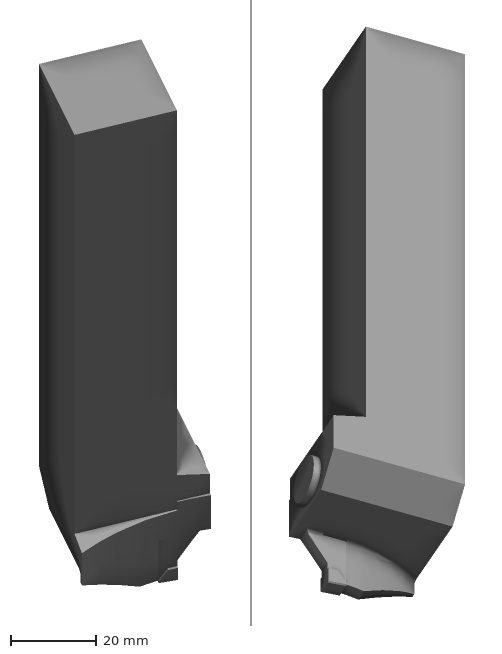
import cadquery as cq
import math

total_height = 152.4
shank_side = 25.5
head_bottom = 14.2
head_depth = 33.7
corner_chamfer = 7.3
flange_angle = 15.0
blade_reach = 30.8
side_ledge_height = 21.0
back_ledge_height = 31.4
rear_lug_height = 25.1


def arc_radius(run, rise):
    """Radius of an arc that leaves its tangent line by a rise over a run."""
    return (run**2 + rise**2) / (2 * rise)


outer_wall_x = 25.8
outer_wall_y = 25.9
outer_wall_radius = arc_radius(outer_wall_y, blade_reach - outer_wall_x)
inner_wall_x = 22.4
inner_wall_y = 23.8
blade_front_x = 29.7
blade_front_z = 10.5
support_bottom = 1.2
support_front_y = 15.8
blade_back_y = 31.0
root_fillet = 1.2

insert_front_y = 20.7
insert_back_y = 26.8
front_relief = 0.5
tip_back_y = 25.5
tip_shoulder_z = 6.1
tip_side_x = 22.0
tip_outer_x = 26.4
tip_height = 4.3
tip_step_y = 23.0
tip_front_z = 1.4
tip_chamfer = 0.3

screw_diameter = 11.9
screw_projection = 1.8
screw_x = 13.4
screw_z = 21.5

ledge_slope = math.tan(math.radians(flange_angle))
back_slope = (head_bottom - tip_shoulder_z) / (blade_back_y - tip_back_y)
jaw_bottom = tip_shoulder_z + (insert_back_y - tip_back_y) * back_slope


def outer_x(y):
    """X of the concave outer wall at a given Y."""
    offset = y - outer_wall_y
    return outer_wall_x + outer_wall_radius - math.sqrt(outer_wall_radius**2 - offset**2)


def side_prism(points, x_start, x_end):
    """Prism along X from an outline of (Y, Z) points."""
    return (cq.Workplane("YZ").workplane(offset=x_start)
            .polyline(points).close().extrude(x_end - x_start))


def front_prism(points, y_start, y_end):
    """Prism along Y from an outline of (X, Z) points."""
    return (cq.Workplane("XZ").workplane(offset=-y_end)
            .polyline(points).close().extrude(y_end - y_start))


def make_shank():
    """Square shank with a back ledge and a chamfered lower corner."""
    ledge_root = back_ledge_height + (head_depth - shank_side) * ledge_slope
    shank = side_prism([
        (0, head_bottom),
        (head_depth, head_bottom),
        (head_depth, back_ledge_height),
        (shank_side, ledge_root),
        (shank_side, total_height),
        (0, total_height),
    ], 0, shank_side)
    corner = front_prism([
        (0, head_bottom),
        (corner_chamfer, head_bottom),
        (0, head_bottom + corner_chamfer),
    ], 0, head_depth)
    return shank.cut(corner)


def make_side_flange():
    """Flange with a concave outer wall, a sloping ledge and a rear lug."""
    flange = (cq.Workplane("XY").workplane(offset=head_bottom)
              .moveTo(inner_wall_x, 0)
              .lineTo(outer_x(0), 0)
              .threePointArc((outer_wall_x, outer_wall_y), (outer_x(head_depth), head_depth))
              .lineTo(inner_wall_x, head_depth)
              .close().extrude(rear_lug_height - head_bottom))
    ledge_root = side_ledge_height + (blade_reach - shank_side) * ledge_slope
    above_ledge = front_prism([
        (shank_side, ledge_root),
        (blade_reach, side_ledge_height),
        (blade_reach, total_height),
        (shank_side, total_height),
    ], 0, shank_side)
    return flange.cut(above_ledge)


def make_blade():
    """Curved support blade and rear jaw below the head."""
    inner_radius = arc_radius(inner_wall_y, blade_front_x - inner_wall_x)
    middle_y = inner_wall_y / 2
    middle_x = inner_wall_x + inner_radius - math.sqrt(inner_radius**2 - middle_y**2)
    plan = (cq.Workplane("XY")
            .moveTo(blade_front_x, 0)
            .lineTo(outer_x(0), 0)
            .threePointArc((outer_wall_x, outer_wall_y), (outer_x(head_depth), head_depth))
            .lineTo(inner_wall_x, head_depth)
            .lineTo(inner_wall_x, inner_wall_y)
            .threePointArc((middle_x, middle_y), (blade_front_x, 0))
            .close().extrude(head_bottom))
    profile = side_prism([
        (0, head_bottom),
        (0, blade_front_z),
        (support_front_y, support_bottom),
        (insert_front_y, support_bottom),
        (insert_back_y, jaw_bottom),
        (blade_back_y, head_bottom),
    ], 0, blade_reach)
    return plan.intersect(profile)


def make_screw_head():
    """Round screw head fixed to the rear face of the holder."""
    return (cq.Workplane("XZ", origin=(screw_x, head_depth, screw_z))
            .circle(screw_diameter / 2).extrude(-screw_projection))


def make_holder():
    """Holder with its blade and screw head, slotted for the insert."""
    holder = make_shank().union(make_side_flange()).union(make_blade())
    root_edges = cq.selectors.BoxSelector(
        (inner_wall_x - root_fillet, -root_fillet, head_bottom - root_fillet),
        (outer_wall_x + root_fillet, blade_back_y - root_fillet, head_bottom + root_fillet))
    holder = holder.edges(root_edges).fillet(root_fillet)
    slot = (cq.Workplane("XY")
            .box(blade_reach, insert_back_y - insert_front_y, head_bottom, centered=False)
            .translate((0, insert_front_y, 0)))
    return holder.cut(slot).union(make_screw_head())


def make_insert():
    """Upright cutting insert with a slightly wider tip."""
    body = side_prism([
        (insert_front_y, front_relief),
        (tip_back_y, 0),
        (tip_back_y, tip_shoulder_z),
        (insert_back_y, jaw_bottom),
        (insert_back_y, head_bottom),
        (insert_front_y, head_bottom),
    ], inner_wall_x, outer_wall_x)
    tip = side_prism([
        (insert_front_y, front_relief),
        (tip_back_y, 0),
        (tip_back_y, tip_height),
        (tip_step_y, tip_height),
        (insert_front_y, tip_front_z),
    ], tip_side_x, tip_outer_x)
    tip = tip.faces("<Z").edges("not |X").chamfer(tip_chamfer)
    return body.union(tip)


holder = make_holder()
insert = make_insert()
result = cq.Compound.makeCompound([holder.solids().val(), insert.solids().val()])